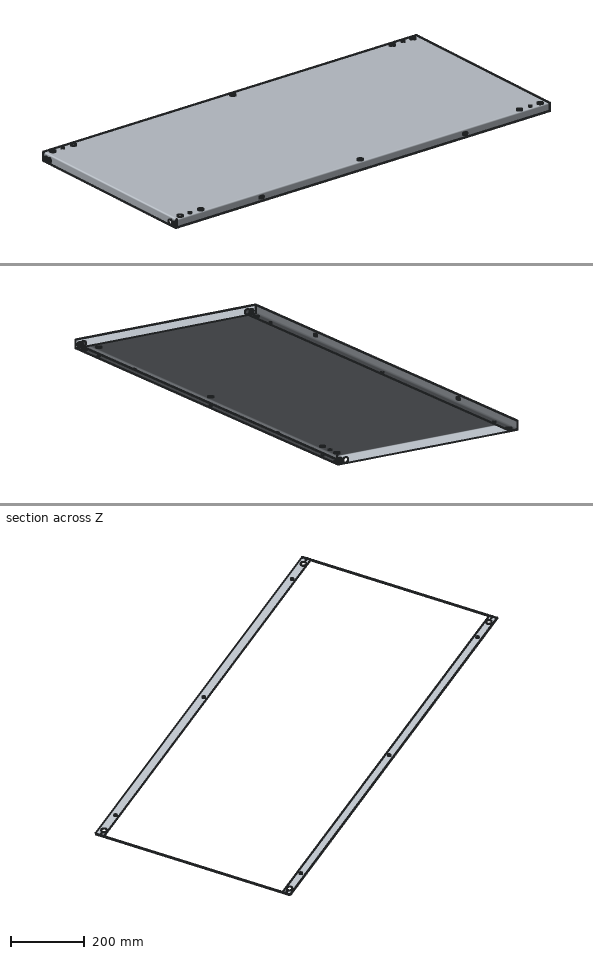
import cadquery as cq

width = 589.0
length = 1288.0
height = 27.0
sheet = 2.0
bend_radius = 4.1
lip_width = 26.0
corner_relief = 3.0

hole_inset = 15.0
large_hole_radius = 8.0
large_hole = 2 * large_hole_radius
small_hole = 9.0
lip_screw_hole = 8.0
corner_hole_y = 620.0
small_hole_y = 586.0
screw_hole_y = 549.0

end_hole = 15.0
end_hole_inset = 28.0
end_hole_z = 9.5
insert_diameter = 13.0
insert_bore = 8.0
insert_length = 10.0

slot_width = 8.0
slot_straight = 7.2
slot_y = 350.0
slot_z = height / 2

half_width = width / 2
half_length = length / 2
hole_x = half_width - hole_inset
end_hole_x = half_width - end_hole_inset
both_sides = (-1, 1)
upright = (True, True, False)


def folded_block(offset):
    """Solid envelope of the folded panel, shrunk inwards by offset on every side."""
    size = (width - 2 * offset, length - 2 * offset, height - 2 * offset)
    radius = bend_radius - offset
    side_folds = cq.Workplane("XY").box(*size, centered=upright).edges("|Y").fillet(radius)
    end_folds = cq.Workplane("XY").box(*size, centered=upright).edges("|X and >Z").fillet(radius)
    return side_folds.intersect(end_folds).translate((0, 0, offset))


def bottom_opening():
    """Open underside between the lips; the end flanges have no lip."""
    return cq.Workplane("XY").box(width - 2 * lip_width, length - 2 * sheet, sheet, centered=upright)


def corner_notches():
    corners = cq.Workplane("XY").rect(width, length, forConstruction=True).vertices()
    return corners.rect(2 * corner_relief, 2 * corner_relief).extrude(height)


def edge_holes(y_places, diameter, bottom, top):
    """Vertical holes near both long edges, running from bottom to top."""
    points = [(side * hole_x, y) for side in both_sides for y in y_places]
    plane = cq.Workplane("XY").workplane(offset=bottom)
    return plane.pushPoints(points).circle(diameter / 2).extrude(top - bottom)


def end_flange_holes(x_place, diameter):
    """A pair of holes along Y through both end flanges."""
    points = [(side * x_place, end_hole_z) for side in both_sides]
    plane = cq.Workplane("XZ", origin=(0, half_length, 0))
    return plane.pushPoints(points).circle(diameter / 2).extrude(length)


def side_flange_slots():
    """A pair of slots along X through both side flanges."""
    points = [(side * slot_y, slot_z) for side in both_sides]
    plane = cq.Workplane("YZ", origin=(-half_width, 0, 0))
    return plane.pushPoints(points).slot2D(slot_straight + slot_width, slot_width).extrude(width)


def make_panel():
    panel = folded_block(0).cut(folded_block(sheet))
    panel = panel.cut(bottom_opening()).cut(corner_notches())

    panel = panel.cut(edge_holes((-corner_hole_y, corner_hole_y), large_hole, 0, height))

    panel = panel.cut(edge_holes((-small_hole_y, small_hole_y), small_hole, height / 2, height))

    screw_places = (-screw_hole_y, 0, screw_hole_y)
    panel = panel.cut(edge_holes(screw_places, large_hole, height / 2, height))
    panel = panel.cut(edge_holes(screw_places, lip_screw_hole, 0, height / 2))

    panel = panel.cut(end_flange_holes(end_hole_x, end_hole))
    panel = panel.cut(end_flange_holes(hole_x, insert_diameter))
    return panel.cut(side_flange_slots())


def make_insert(x_side, y_side):
    """Round bored insert, flush with the outer face of an end flange and reaching inwards."""
    face = cq.Workplane("XZ", origin=(x_side * hole_x, y_side * half_length, end_hole_z))
    ring = face.circle(insert_diameter / 2).circle(insert_bore / 2)
    return ring.extrude(y_side * insert_length)


panel = make_panel()
inserts = [make_insert(x_side, y_side).val() for x_side in both_sides for y_side in both_sides]
result = cq.Compound.makeCompound([panel.val(), *inserts])